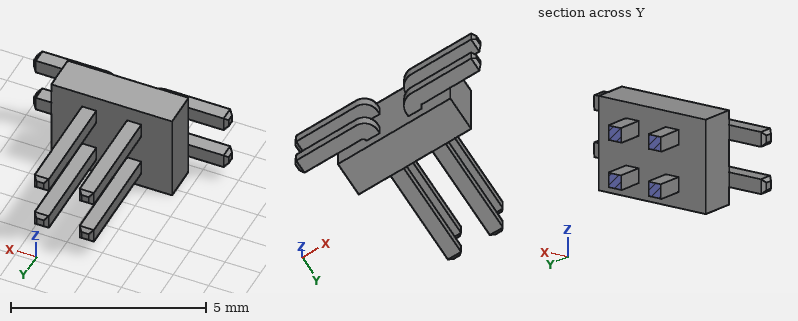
import cadquery as cq

overall_length = 5.5
overall_depth = 4.5
body_length = 3.41
body_depth = 1.0
body_height = 2.54
pitch = 1.27
pin_width = 0.4
leg_standoff = 0.5
outer_bend_radius = 0.4
inner_bend_radius = 0.1
tip_taper = 0.1

leg_outer_y = -overall_depth / 2
leg_inner_y = leg_outer_y + pin_width
body_front_y = leg_outer_y + leg_standoff
pin_end_y = overall_depth / 2
leg_end_x = overall_length / 2
pin_inner_x = (pitch - pin_width) / 2
pin_outer_x = pin_inner_x + pin_width


def make_body():
    return cq.Workplane("XY").box(body_length, body_depth, body_height).translate(
        (0, body_front_y + body_depth / 2, 0)
    )


def make_pin():
    """One bent pin on the +X side, centred on Z = 0, with tapered ends."""
    pin = (
        cq.Workplane("XY")
        .workplane(offset=-pin_width / 2)
        .moveTo(pin_inner_x, pin_end_y)
        .lineTo(pin_inner_x, leg_outer_y)
        .lineTo(leg_end_x, leg_outer_y)
        .lineTo(leg_end_x, leg_inner_y)
        .lineTo(pin_outer_x, leg_inner_y)
        .lineTo(pin_outer_x, pin_end_y)
        .close()
        .extrude(pin_width)
    )
    outer_corner = cq.selectors.NearestToPointSelector((pin_inner_x, leg_outer_y, 0))
    inner_corner = cq.selectors.NearestToPointSelector((pin_outer_x, leg_inner_y, 0))
    pin = pin.edges("|Z").edges(outer_corner).fillet(outer_bend_radius)
    pin = pin.edges("|Z").edges(inner_corner).fillet(inner_bend_radius)
    return pin.faces(">X or >Y").chamfer(tip_taper)


result = make_body()
right_pin = make_pin()
left_pin = right_pin.mirror("YZ")
for row_z in (-pitch / 2, pitch / 2):
    for pin in (left_pin, right_pin):
        result = result.union(pin.translate((0, 0, row_z)))